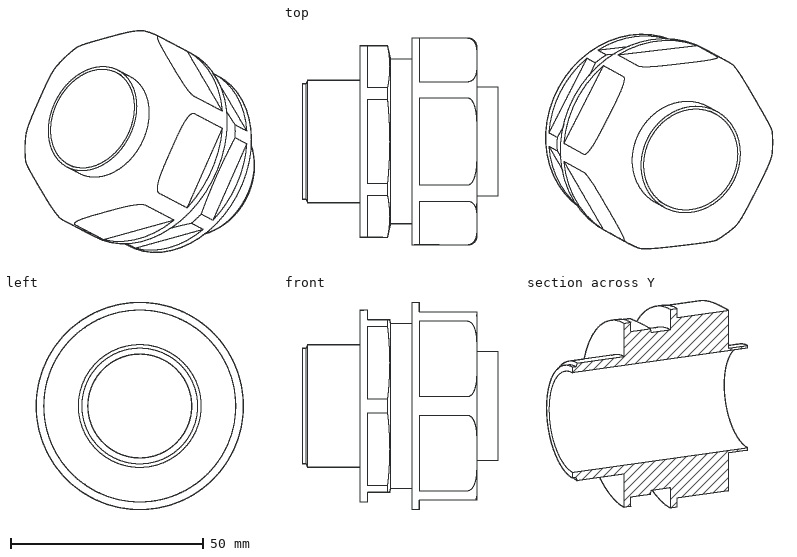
import cadquery as cq

THREAD_TIP_END = 1.0
THREAD_START = 1.4
BODY_FLANGE_START = 15.0
BODY_HEX_START = 17.0
BODY_HEX_END = 23.0
NUT_FLANGE_START = 28.5
NUT_HEX_START = 30.5
NUT_HEX_END = 45.5
OVERALL_LENGTH = 51.0

BORE_DIAMETER = 27.0
THREAD_TIP_DIAMETER = 30.16
THREAD_DIAMETER = 32.0
BODY_DIAMETER = 50.0
NECK_DIAMETER = 43.0
NUT_DIAMETER = 54.0
STUB_DIAMETER = 28.5

BODY_ACROSS_FLATS = 45.0
NUT_ACROSS_FLATS = 49.0
HEX_SIDES = 6
BODY_CHAMFER_LENGTH = 0.8
NUT_EDGE_RADIUS = 2.5


def cylinder(diameter, start, end):
    """Solid cylinder on the X axis between two stations."""
    return cq.Workplane("YZ").workplane(offset=start).circle(diameter / 2).extrude(end - start)


def cut_wrench_flats(blank, across_flats, blank_diameter, start, end):
    """Cut six flats, two of them facing +Z and -Z, leaving round corners between them."""
    waste_height = blank_diameter - across_flats
    waste = cq.Workplane("XY").box(
        end - start, blank_diameter, waste_height, centered=(False, True, False)
    ).translate((start, 0, across_flats / 2))
    for side in range(HEX_SIDES):
        angle = side * 360 / HEX_SIDES
        blank = blank.cut(waste.rotate((0, 0, 0), (1, 0, 0), angle))
    return blank


def make_thread_spigot():
    """Plain thread cylinder with a short reduced tip and a conical step between them."""
    profile = [
        (0, 0),
        (0, THREAD_TIP_DIAMETER / 2),
        (THREAD_TIP_END, THREAD_TIP_DIAMETER / 2),
        (THREAD_START, THREAD_DIAMETER / 2),
        (BODY_FLANGE_START, THREAD_DIAMETER / 2),
        (BODY_FLANGE_START, 0),
    ]
    return cq.Workplane("XY").polyline(profile).close().revolve(360, (0, 0, 0), (1, 0, 0))


def make_body_hex():
    """Round flange followed by the hexagon, whose far end tapers down to the neck."""
    chamfer_start = BODY_HEX_END - BODY_CHAMFER_LENGTH
    profile = [
        (BODY_FLANGE_START, 0),
        (BODY_FLANGE_START, BODY_DIAMETER / 2),
        (chamfer_start, BODY_DIAMETER / 2),
        (BODY_HEX_END, NECK_DIAMETER / 2),
        (BODY_HEX_END, 0),
    ]
    blank = cq.Workplane("XY").polyline(profile).close().revolve(360, (0, 0, 0), (1, 0, 0))
    return cut_wrench_flats(blank, BODY_ACROSS_FLATS, BODY_DIAMETER, BODY_HEX_START, BODY_HEX_END)


def make_nut():
    """Round flange followed by the hexagon, with a rounded far edge."""
    blank = cylinder(NUT_DIAMETER, NUT_FLANGE_START, NUT_HEX_END)
    blank = blank.faces(">X").edges().fillet(NUT_EDGE_RADIUS)
    return cut_wrench_flats(blank, NUT_ACROSS_FLATS, NUT_DIAMETER, NUT_HEX_START, NUT_HEX_END)


neck = cylinder(NECK_DIAMETER, BODY_HEX_END, NUT_FLANGE_START)
stub = cylinder(STUB_DIAMETER, NUT_HEX_END, OVERALL_LENGTH)
bore = cylinder(BORE_DIAMETER, 0, OVERALL_LENGTH)

result = (
    make_thread_spigot()
    .union(make_body_hex())
    .union(neck)
    .union(make_nut())
    .union(stub)
    .cut(bore)
)